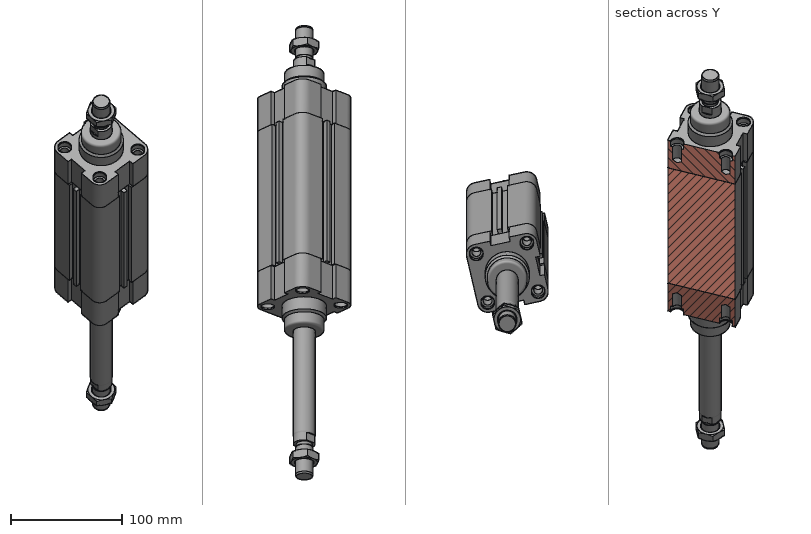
import cadquery as cq
import math

total_length = 444.0

body_side = 65.0
body_length = 206.0
corner_radius = 9.5
cap_length = 33.5
tube_length = body_length - 2 * cap_length
half_side = body_side / 2
half_body = body_length / 2

cap_slot_width = 17.8
slot_depth = 4.2
tube_slot_width = 14.5
slot_rib_width = 4.0

hole_spacing = 46.5
hole_mouth_diameter = 12.5
hole_mouth_depth = 1.5
hole_seat_diameter = 12.0
hole_seat_depth = 6.5
hole_diameter = 8.0
hole_depth = 22.0
drill_tip_angle = 118.0

collar_diameter = 40.0
collar_length = 12.0
boss_diameter = 36.0
boss_length = 25.5
boss_rounding = 2.0
collar_cone_length = (collar_diameter - boss_diameter) / 2

rod_diameter = 20.0
rod_end_diameter = 19.5
rod_end_length = 7.5
rod_cone_length = 1.5
flat_spacing = 17.0
thread_diameter = 16.0
thread_length = 32.0
thread_chamfer_length = 1.8
neck_diameter = 14.5
neck_length = 3.0
short_reach = 69.0
long_reach = total_length - body_length - short_reach

nut_width = 24.0
nut_thickness = 8.0
nut_from_shoulder = 10.0
nut_chamfer = 1.0
nut_bore_chamfer = 1.0

rod_top = half_body + short_reach
rod_bottom = -half_body - long_reach


def revolve_profile(points):
    """Solid of revolution about Z from (radius, z) points."""
    return cq.Workplane("XZ").polyline(points).close().revolve(360, (0, 0, 0), (0, 1, 0))


def flip(body):
    """Copy turned upside down by mirroring in the XY plane."""
    return body.mirror("XY")


def square_bar(length):
    """Square bar with rounded long edges, standing on Z = 0."""
    bar = cq.Workplane("XY").rect(body_side, body_side).extrude(length)
    return bar.edges("|Z").fillet(corner_radius)


def on_slotted_sides(cutter):
    """The front-side cutter repeated on the left, front and right sides."""
    copies = cutter
    for angle in (-90, 90):
        copies = copies.union(cutter.rotate((0, 0, 0), (0, 0, 1), angle))
    return copies


def front_slot(width, depth, length):
    """Rectangular slot cutter at the front side."""
    slot = cq.Workplane("XY").rect(width, 2 * depth).extrude(length)
    return slot.translate((0, -half_side, 0))


def make_tube():
    bar = square_bar(tube_length)
    slot = front_slot(tube_slot_width, slot_depth, tube_length)
    slot = slot.cut(front_slot(slot_rib_width, slot_depth, tube_length))
    bar = bar.cut(on_slotted_sides(slot))
    bar = bar.faces(">Z").workplane(origin=(0, 0, 0)).hole(rod_diameter)
    return bar.translate((0, 0, -tube_length / 2))


def mounting_hole():
    """Stepped blind hole with a drill tip; its mouth is at Z = 0."""
    mouth_radius = hole_mouth_diameter / 2
    seat_radius = hole_seat_diameter / 2
    radius = hole_diameter / 2
    tip_height = radius / math.tan(math.radians(drill_tip_angle / 2))
    return revolve_profile([
        (0, 0),
        (mouth_radius, 0),
        (mouth_radius, -hole_mouth_depth),
        (seat_radius, -hole_mouth_depth),
        (seat_radius, -hole_seat_depth),
        (radius, -hole_seat_depth),
        (radius, -hole_depth),
        (0, -hole_depth - tip_height),
    ])


def make_boss():
    """Collar and boss standing on Z = 0."""
    collar_radius = collar_diameter / 2
    radius = boss_diameter / 2
    boss = revolve_profile([
        (0, 0),
        (collar_radius, 0),
        (collar_radius, collar_length),
        (radius, collar_length + collar_cone_length),
        (radius, boss_length),
        (0, boss_length),
    ])
    return boss.faces(">Z").edges().fillet(boss_rounding)


def make_top_cap():
    cap = square_bar(cap_length)
    cap = cap.cut(on_slotted_sides(front_slot(cap_slot_width, slot_depth, cap_length)))
    cap = cap.union(make_boss().translate((0, 0, cap_length)))
    hole_places = cq.Workplane("XY", origin=(0, 0, cap_length)).rect(
        hole_spacing, hole_spacing, forConstruction=True
    )
    hole = mounting_hole().val()
    cap = cap.cut(hole_places.vertices().eachpoint(lambda place: hole.located(place), combine=False))
    rod_bore = cq.Workplane("XY").circle(rod_diameter / 2).extrude(cap_length + boss_length)
    return cap.cut(rod_bore).translate((0, 0, tube_length / 2))


def rod_end_outline(tip, outward):
    """(radius, z) points from the full rod diameter out to the tip at height `tip`."""
    shoulder = tip - outward * thread_length
    end_start = shoulder - outward * rod_end_length
    thread_radius = thread_diameter / 2
    return [
        (rod_diameter / 2, end_start - outward * rod_cone_length),
        (rod_end_diameter / 2, end_start),
        (rod_end_diameter / 2, shoulder),
        (neck_diameter / 2, shoulder),
        (neck_diameter / 2, shoulder + outward * neck_length),
        (thread_radius, shoulder + outward * neck_length),
        (thread_radius, tip - outward * thread_chamfer_length),
        (neck_diameter / 2, tip),
        (0, tip),
    ]


def wrench_flats(tip, outward):
    """Cutter for the two flats, front and back, behind the shoulder."""
    shoulder = tip - outward * thread_length
    block = cq.Workplane("XY").box(rod_diameter, rod_diameter, rod_end_length)
    block = block.cut(cq.Workplane("XY").box(rod_diameter, flat_spacing, rod_end_length))
    return block.translate((0, 0, shoulder - outward * rod_end_length / 2))


def make_rod():
    top_outline = rod_end_outline(rod_top, 1)
    bottom_outline = rod_end_outline(rod_bottom, -1)
    rod = revolve_profile(bottom_outline[::-1] + top_outline)
    return rod.cut(wrench_flats(rod_top, 1)).cut(wrench_flats(rod_bottom, -1))


def make_nut(tip, outward):
    """Hexagonal nut with corners along X and chamfered on both faces."""
    corner_radius_of_nut = nut_width / 2 / math.cos(math.pi / 6)
    face_radius = nut_width / 2
    half_thickness = nut_thickness / 2
    nut = cq.Workplane("XY").polygon(6, 2 * corner_radius_of_nut).extrude(half_thickness, both=True)
    chamfered_disc = revolve_profile([
        (0, -half_thickness),
        (face_radius, -half_thickness),
        (corner_radius_of_nut, nut_chamfer - half_thickness),
        (corner_radius_of_nut, half_thickness - nut_chamfer),
        (face_radius, half_thickness),
        (0, half_thickness),
    ])
    bore_radius = thread_diameter / 2
    bore = revolve_profile([
        (0, -half_thickness),
        (bore_radius + nut_bore_chamfer, -half_thickness),
        (bore_radius, nut_bore_chamfer - half_thickness),
        (bore_radius, half_thickness - nut_bore_chamfer),
        (bore_radius + nut_bore_chamfer, half_thickness),
        (0, half_thickness),
    ])
    shoulder = tip - outward * thread_length
    middle = shoulder + outward * (nut_from_shoulder + half_thickness)
    return nut.intersect(chamfered_disc).cut(bore).translate((0, 0, middle))


tube = make_tube()
top_cap = make_top_cap()
bottom_cap = flip(top_cap)
rod = make_rod()
nuts = [make_nut(tip, outward).val() for tip, outward in ((rod_top, 1), (rod_bottom, -1))]

result = cq.Compound.makeCompound(
    [tube.val(), top_cap.val(), bottom_cap.val(), rod.val(), *nuts]
)